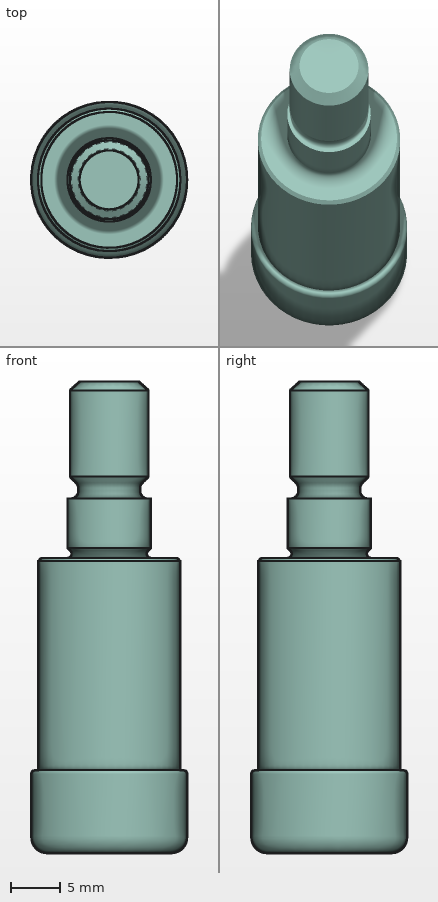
import cadquery as cq
import math

total_height = 48.0

cap_radius = 15.9 / 2
cap_height = 8.45
cap_bottom_fillet = 1.7
cap_top_fillet = 0.4

shank_radius = 7.25
shank_top = 30.05
shank_chamfer = 0.35
pilot_radius = 8.5 / 2
pilot_bottom = 31.05
pilot_top = 36.1
stud_radius = 8.0 / 2
stud_bottom = 38.3
stud_chamfer_width = 1.0
stud_chamfer_height = 0.9

pilot_groove_radius = 3.85
pilot_groove_fillet = pilot_radius - pilot_groove_radius
stud_groove_radius = 3.15
stud_groove_fillet = 0.7


def add_relief_groove(outline, floor_z, neck_radius, fillet, upper_radius, upper_z):
    """Continue a half profile upward from a shoulder through a relief groove."""
    diagonal = math.sqrt(0.5)
    arc_side = fillet * (1 - diagonal)
    arc_rise = fillet * diagonal
    center_radius = neck_radius + fillet
    flank_start_radius = neck_radius + arc_side
    flank_start_z = upper_z - (upper_radius - flank_start_radius)
    neck_top_z = flank_start_z - arc_rise
    mid_angle = math.radians(22.5)
    arc_middle = (
        center_radius - fillet * math.cos(mid_angle),
        neck_top_z + fillet * math.sin(mid_angle),
    )
    return (
        outline.lineTo(center_radius, floor_z)
        .threePointArc(
            (flank_start_radius, floor_z + arc_side),
            (neck_radius, floor_z + fillet),
        )
        .lineTo(neck_radius, neck_top_z)
        .threePointArc(arc_middle, (flank_start_radius, flank_start_z))
        .lineTo(upper_radius, upper_z)
    )


def make_cap():
    """Round cap with a generously rounded lower edge."""
    cap = cq.Workplane("XY").circle(cap_radius).extrude(cap_height)
    cap = cap.faces("<Z").edges().fillet(cap_bottom_fillet)
    return cap.faces(">Z").edges().fillet(cap_top_fillet)


def make_spindle():
    """Turned shank, pilot and stud, standing on the flat top of the cap."""
    outline = (
        cq.Workplane("XZ")
        .moveTo(0, cap_height)
        .lineTo(shank_radius, cap_height)
        .lineTo(shank_radius, shank_top - shank_chamfer)
        .lineTo(shank_radius - shank_chamfer, shank_top)
    )
    outline = add_relief_groove(
        outline, shank_top, pilot_groove_radius, pilot_groove_fillet, pilot_radius, pilot_bottom
    )
    outline = outline.lineTo(pilot_radius, pilot_top)
    outline = add_relief_groove(
        outline, pilot_top, stud_groove_radius, stud_groove_fillet, stud_radius, stud_bottom
    )
    outline = (
        outline.lineTo(stud_radius, total_height - stud_chamfer_height)
        .lineTo(stud_radius - stud_chamfer_width, total_height)
        .lineTo(0, total_height)
        .close()
    )
    return outline.revolve(360, (0, 0, 0), (0, 1, 0))


cap = make_cap()
spindle = make_spindle()

result = cq.Compound.makeCompound([cap.val(), spindle.val()])